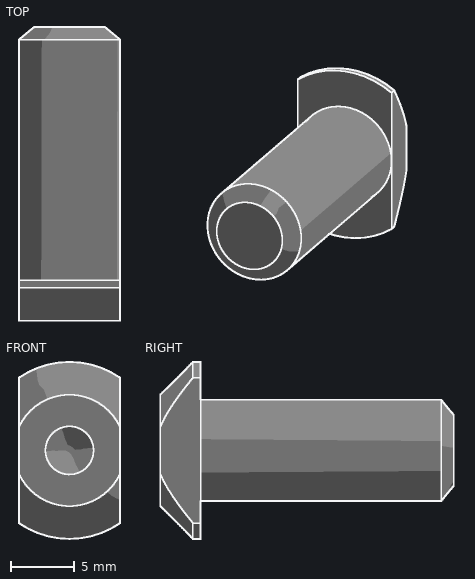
import cadquery as cq
import math

total_length = 23.2
shank_diameter = 8.0
head_diameter = 14.0
head_thickness = 3.2
head_rim = 0.6
tip_chamfer_length = 1.0
tip_chamfer_depth = 1.2
hole_diameter = 3.8
hole_depth = 8.0
drill_point_angle = 118.0

shank_radius = shank_diameter / 2
head_radius = head_diameter / 2
hole_radius = hole_diameter / 2
head_bevel = head_thickness - head_rim
tip_radius = shank_radius - tip_chamfer_depth
drill_point_length = hole_radius / math.tan(math.radians(drill_point_angle / 2))


def revolve_about_y(points):
    """Turn a closed (radius, y) profile around the Y axis."""
    return cq.Workplane("XY").polyline(points).close().revolve(360, (0, 0, 0), (0, 1, 0))


head = revolve_about_y([
    (0, 0),
    (head_radius - head_bevel, 0),
    (head_radius, head_bevel),
    (head_radius, head_thickness),
    (0, head_thickness),
])
flats = cq.Workplane("XY").box(
    shank_diameter, head_thickness, head_diameter, centered=(True, False, True)
)
head = head.intersect(flats)

shank = revolve_about_y([
    (0, head_bevel),
    (shank_radius, head_bevel),
    (shank_radius, total_length - tip_chamfer_length),
    (tip_radius, total_length),
    (0, total_length),
])

hole = revolve_about_y([
    (0, 0),
    (hole_radius, 0),
    (hole_radius, hole_depth),
    (0, hole_depth + drill_point_length),
])

result = head.union(shank).cut(hole).translate((0, -total_length / 2, 0))